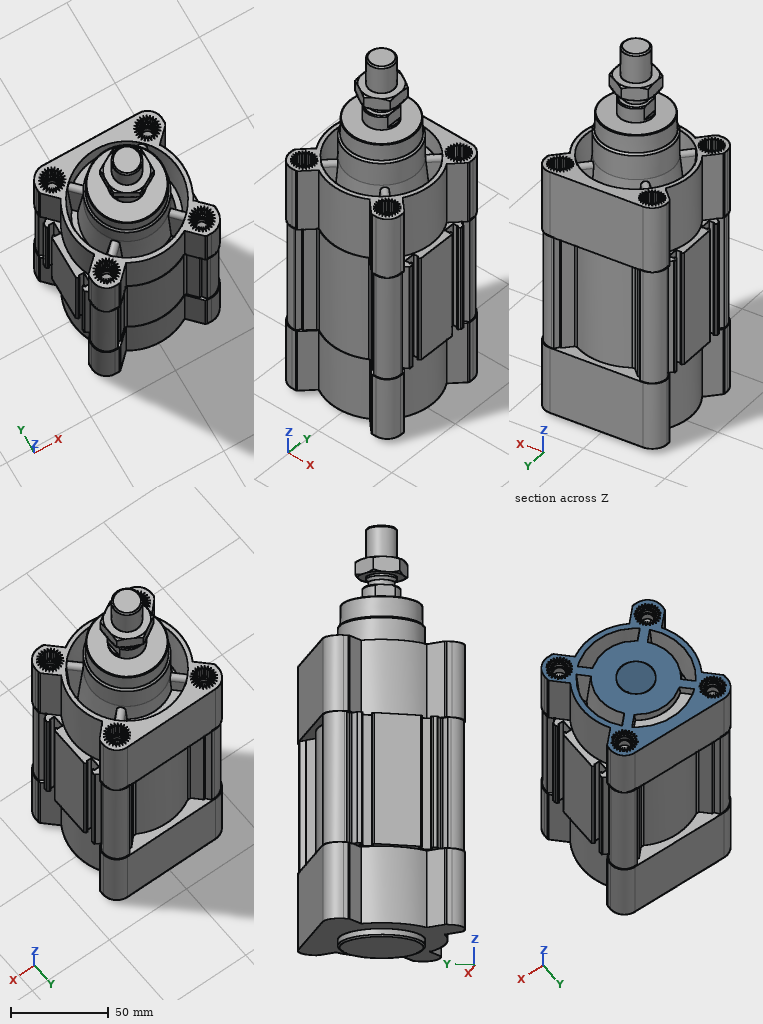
import cadquery as cq
import math

boss_height = 4.0
barrel_bottom = 44.8
barrel_top = 114.7
housing_top = 155.0
nose_shoulder = 169.8
nose_top = 181.8
flats_bottom = 183.2
rod_shoulder = 191.2
neck_top = 194.3
thread_bottom = 196.0
nut_bottom = 197.2
nut_height = 8.0
overall_height = 223.0

half_width = 37.5
core_radius = 34.1
corner_radius = 9.0
screw_offset = 28.22
cap_flank_offset = 12.0
cap_flank_break = 0.7
barrel_core_radius = 34.0
barrel_half_width = 37.0
barrel_step_y = 29.5
barrel_step_x = 18.5
notch_floor = 34.4
notch_floor_inner = 23.5
notch_floor_outer = 24.5
notch_mouth_outer = 26.5
notch_mouth_inner = 21.2

slot_floor = 32.5
slot_lip_depth = 1.8
slot_inner_near = 12.3
slot_inner_far = 19.0
slot_mouth_near = 13.2
slot_mouth_far = 18.0

boss_diameter = 45.0
boss_chamfer = 1.0
nose_cone_base_radius = 21.5
nose_cone_top_radius = 21.2
nose_chamfer_height = 1.1
nose_rim_chamfer = 0.5
recess_diameter = 63.0
recess_depth = 26.8
port_side_depth = 11.2
recess_draft = 6.0
rib_radius = 2.35
rib_drop = 1.3
rib_count = 4

serration_count = 24
serration_inner_radius = 4.5
serration_outer_radius = 7.0
socket_depth = 9.0
counterbore_diameter = 8.0
counterbore_depth = 2.2
drill_diameter = 6.7
drill_depth = 4.5
drill_point_angle = 118.0

rod_diameter = 20.0
rod_chamfer = 0.7
rod_across_flats = 17.2
stud_diameter = 16.0
stud_chamfer = 1.0
neck_diameter = 13.8
nut_across_flats = 24.0
nut_chamfer_diameter = 24.5
nut_chamfer_height = 1.0


def disc(radius, bottom, top):
    """Cylinder on the Z axis between two heights."""
    return cq.Workplane("XY").workplane(offset=bottom).circle(radius).extrude(top - bottom)


def box_between(x_range, y_range, z_range):
    """Axis-aligned box given by its limits."""
    size = [high - low for low, high in (x_range, y_range, z_range)]
    corner = (x_range[0], y_range[0], z_range[0])
    return cq.Workplane("XY").box(*size, centered=False).translate(corner)


def corner_arm(side_points, half, bottom, top):
    """Arm from the axis to the +X +Y corner, symmetric about the diagonal, with a round corner."""
    center = half - corner_radius
    arc_middle = center + corner_radius / math.sqrt(2)
    mirrored = [(y, x) for x, y in reversed(side_points)]
    return (
        cq.Workplane("XY").workplane(offset=bottom)
        .polyline([(0, 0), *side_points, (center, half)])
        .threePointArc((arc_middle, arc_middle), (half, center))
        .polyline([*mirrored, (0, 0)], includeCurrent=True)
        .close().extrude(top - bottom)
    )


def section(side_points, radius, half, bottom, top):
    """Round core with four corner arms."""
    body = disc(radius, bottom, top)
    arm = corner_arm(side_points, half, bottom, top)
    for quarter in range(4):
        body = body.union(arm.rotate((0, 0, 0), (0, 0, 1), 90 * quarter))
    return body


def make_cap(bottom, top):
    """End cap: corner arms with 45 degree flanks, filled flush on the +Y side."""
    flank_end = half_width - cap_flank_offset
    flank = [
        (0, cap_flank_offset),
        (flank_end - cap_flank_break / 2, half_width - cap_flank_break / 2),
        (flank_end + cap_flank_break, half_width),
    ]
    fill_half = half_width - corner_radius
    fill = box_between((-fill_half, fill_half), (0, half_width), (bottom, top))
    return section(flank, core_radius, half_width, bottom, top).union(fill)


def sensor_rail():
    """Plate and hooks on the -X side that enclose two T-shaped sensor slots."""
    lip = half_width - slot_lip_depth
    lip_chamfer = slot_mouth_near - slot_inner_near
    height = (barrel_bottom, barrel_top)
    rail = box_between((-slot_floor, 0), (-slot_inner_far, slot_inner_far), height)
    plate_half_points = [
        (0, 0),
        (-half_width, 0),
        (-half_width, slot_inner_near),
        (-half_width + lip_chamfer, slot_mouth_near),
        (-lip, slot_mouth_near),
        (-lip, slot_inner_near),
        (0, slot_inner_near),
    ]
    hook_points = [
        (-half_width, slot_inner_far),
        (-half_width + lip_chamfer, slot_mouth_far),
        (-lip, slot_mouth_far),
        (-lip, slot_inner_far),
        (-barrel_step_y, slot_inner_far),
        (-barrel_step_y, notch_floor_inner),
        (-notch_floor, notch_floor_inner),
        (-barrel_half_width, notch_mouth_inner),
        (-half_width, notch_mouth_inner),
    ]
    for points in (plate_half_points, hook_points):
        half = (
            cq.Workplane("XY").workplane(offset=barrel_bottom)
            .polyline(points).close().extrude(barrel_top - barrel_bottom)
        )
        rail = rail.union(half).union(half.mirror("XZ"))
    return rail


def make_barrel():
    """Middle profile tube with grooved corners and sensor slots on both X sides."""
    side = [
        (0, barrel_step_y),
        (barrel_step_x, barrel_step_y),
        (notch_floor_inner, notch_floor),
        (notch_floor_outer, notch_floor),
        (notch_mouth_outer, barrel_half_width),
    ]
    rail = sensor_rail()
    barrel = section(side, barrel_core_radius, barrel_half_width, barrel_bottom, barrel_top)
    return barrel.union(rail).union(rail.mirror("YZ"))


def make_nose():
    """Stepped, slightly tapered nose on the front cap."""
    radius = boss_diameter / 2
    return (
        cq.Workplane("XZ")
        .polyline([
            (0, barrel_top),
            (radius, barrel_top),
            (radius, nose_shoulder),
            (nose_cone_base_radius, nose_shoulder + nose_chamfer_height),
            (nose_cone_top_radius, nose_top - nose_rim_chamfer),
            (nose_cone_top_radius - nose_rim_chamfer, nose_top),
            (0, nose_top),
        ])
        .close().revolve(360, (0, 0, 0), (0, 1, 0))
    )


def recess_cutter():
    """Drafted annular pocket around the nose, interrupted by round-topped ribs."""
    floor = housing_top - recess_depth
    draft = recess_depth * math.tan(math.radians(recess_draft))
    inner = boss_diameter / 2
    outer = recess_diameter / 2
    pocket = (
        cq.Workplane("XZ")
        .polyline([
            (inner, housing_top),
            (outer, housing_top),
            (outer - draft, floor),
            (inner + draft, floor),
        ])
        .close().revolve(360, (0, 0, 0), (0, 1, 0))
    )
    spring = housing_top - rib_drop - rib_radius
    foot = rib_radius + (spring - floor) * math.tan(math.radians(recess_draft))
    rib = (
        cq.Workplane("YZ")
        .moveTo(-foot, floor).lineTo(-rib_radius, spring)
        .threePointArc((0, spring + rib_radius), (rib_radius, spring))
        .lineTo(foot, floor).close().extrude(core_radius)
    )
    for index in range(rib_count):
        angle = 360 / rib_count * (index + 0.5)
        pocket = pocket.cut(rib.rotate((0, 0, 0), (0, 0, 1), angle))
    filler = (
        cq.Workplane("XY").workplane(offset=floor)
        .polyline([(0, 0), (half_width, half_width), (-half_width, half_width)])
        .close().extrude(recess_depth - port_side_depth)
    )
    return pocket.cut(filler)


def screw_cutter():
    """Serrated socket, counterbore and drilled hole with a conical end, on the Z axis."""
    points = []
    for index in range(2 * serration_count):
        radius = serration_inner_radius if index % 2 else serration_outer_radius
        angle = math.pi * (index + 0.5) / serration_count
        points.append((radius * math.cos(angle), radius * math.sin(angle)))
    socket_floor = housing_top - socket_depth
    socket = (
        cq.Workplane("XY").workplane(offset=socket_floor)
        .polyline(points).close().extrude(socket_depth)
    )
    step = socket_floor - counterbore_depth
    drill_end = step - drill_depth
    drill_radius = drill_diameter / 2
    point_height = drill_radius / math.tan(math.radians(drill_point_angle / 2))
    hole = (
        cq.Workplane("XZ")
        .polyline([
            (0, socket_floor),
            (counterbore_diameter / 2, socket_floor),
            (counterbore_diameter / 2, step),
            (drill_radius, step),
            (drill_radius, drill_end),
            (0, drill_end - point_height),
        ])
        .close().revolve(360, (0, 0, 0), (0, 1, 0))
    )
    return socket.union(hole)


def make_housing():
    """Rear cap, barrel, front cap and nose as one body, bored for the rod."""
    boss = disc(boss_diameter / 2, 0, boss_height).faces("<Z").chamfer(boss_chamfer)
    front_cap = make_cap(barrel_top, housing_top).cut(recess_cutter())
    screw = screw_cutter()
    for x in (-screw_offset, screw_offset):
        for y in (-screw_offset, screw_offset):
            front_cap = front_cap.cut(screw.translate((x, y, 0)))
    housing = make_cap(boss_height, barrel_bottom).union(boss).union(make_barrel())
    housing = housing.union(front_cap).union(make_nose())
    return housing.cut(disc(rod_diameter / 2, barrel_top, nose_top))


def make_rod():
    """Rod with two wrench flats, an undercut neck and the threaded stud."""
    rod_radius = rod_diameter / 2
    stud_radius = stud_diameter / 2
    neck_radius = neck_diameter / 2
    rod = (
        cq.Workplane("XZ")
        .polyline([
            (0, barrel_top),
            (rod_radius, barrel_top),
            (rod_radius, rod_shoulder - rod_chamfer),
            (rod_radius - rod_chamfer, rod_shoulder),
            (neck_radius, rod_shoulder),
            (neck_radius, neck_top),
            (stud_radius, thread_bottom),
            (stud_radius, overall_height - stud_chamfer),
            (stud_radius - stud_chamfer, overall_height),
            (0, overall_height),
        ])
        .close().revolve(360, (0, 0, 0), (0, 1, 0))
    )
    for side in (-1, 1):
        flat_x = sorted((side * rod_across_flats / 2, side * rod_diameter))
        rod = rod.cut(box_between(flat_x, (-rod_diameter, rod_diameter), (flats_bottom, rod_shoulder)))
    return rod


def make_nut():
    """Hexagon nut with flats facing X and chamfered corners top and bottom."""
    corner_radius = nut_across_flats / math.sqrt(3)
    chamfer_radius = nut_chamfer_diameter / 2
    hexagon = (
        cq.Workplane("XY").polygon(6, 2 * corner_radius).extrude(nut_height)
        .rotate((0, 0, 0), (0, 0, 1), 30)
    )
    envelope = (
        cq.Workplane("XZ")
        .polyline([
            (0, 0),
            (chamfer_radius, 0),
            (corner_radius, nut_chamfer_height),
            (corner_radius, nut_height - nut_chamfer_height),
            (chamfer_radius, nut_height),
            (0, nut_height),
        ])
        .close().revolve(360, (0, 0, 0), (0, 1, 0))
    )
    nut = hexagon.intersect(envelope).cut(disc(stud_diameter / 2, 0, nut_height))
    return nut.translate((0, 0, nut_bottom))


housing = make_housing()
piston_rod = make_rod()
lock_nut = make_nut()

result = cq.Compound.makeCompound([housing.val(), piston_rod.val(), lock_nut.val()])